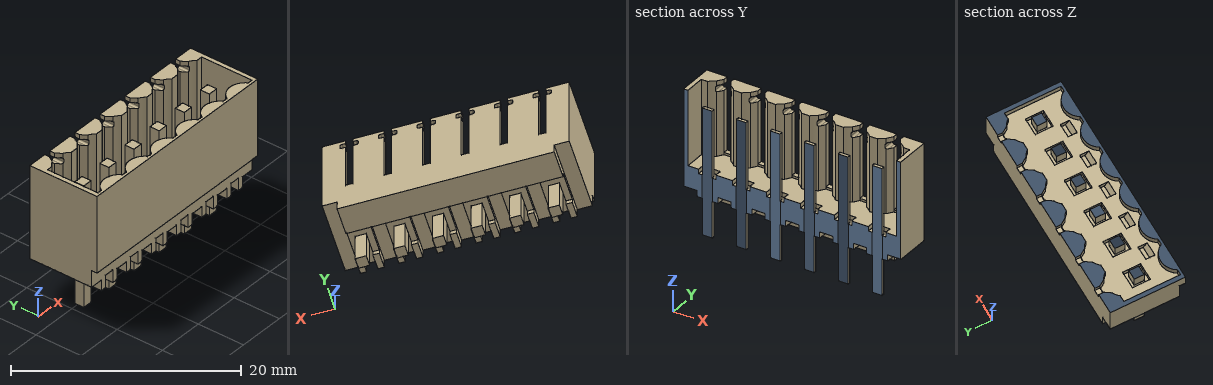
import cadquery as cq
import math


PIN_COUNT = 6
PIN_ROW_LENGTH = 17.5
PITCH = PIN_ROW_LENGTH / (PIN_COUNT - 1)
PIN_SIZE = 1.0
PIN_Y = 3.52
PIN_BELOW_HOUSING = 3.18
PIN_TOP_BELOW_RIM = 1.3

LENGTH = 22.4
DEPTH = 7.45
HEIGHT = 11.07
BASE_HEIGHT = 2.91
BASE_FRONT_Y = 0.6
END_WALL = 0.47
FRONT_WALL = 0.3
BACK_WALL = 1.61
FLOOR_ABOVE_STEP = 0.5
CAVITY_FLOOR_Z = BASE_HEIGHT + FLOOR_ABOVE_STEP

RIB_RADIUS = 1.7
RIB_PROJECTION = 0.85

RECESS_RADIUS = 1.7
RECESS_CENTRE_FROM_BACK = 2.67
THROAT_HALF_WIDTH = 0.75
COLUMN_SLOT_WIDTH = 0.67
COLUMN_SLOT_DEPTH = 0.54
COLUMN_SLOT_SILL = 0.22

GROOVE_WIDTH = 1.65
GROOVE_HEIGHT = 0.63
GROOVE_TOP_BELOW_RIM = 0.5
GROOVE_CORNER_RADIUS = 0.2

PIN_POCKET_SIZE = 1.77
PIN_POCKET_DEPTH = 0.45
WEDGE_WIDTH = 1.4
WEDGE_FRONT_Y = 1.12
WEDGE_SLOPE_LENGTH = 0.4
WEDGE_BACK_Y = 2.02
WEDGE_DEPTH = 0.45

END_STEP_LENGTH = 1.37
END_STEP_HEIGHT = 1.15
CHANNEL_FRONT_Y = 2.1
CHANNEL_BACK_Y = 4.84
CHANNEL_HEIGHT = 0.54
PIN_NOTCH_HEIGHT = 1.35
GAP_NOTCH_WIDTH = 1.3
GAP_NOTCH_HEIGHT = END_STEP_HEIGHT

PIN_XS = [(i - (PIN_COUNT - 1) / 2) * PITCH for i in range(PIN_COUNT)]
GAP_XS = [x + PITCH / 2 for x in PIN_XS[:-1]]
CAVITY_DEPTH = HEIGHT - CAVITY_FLOOR_Z


def block(x_range, y_range, z_range):
    """Box spanning the given (low, high) ranges."""
    (x0, x1), (y0, y1), (z0, z1) = x_range, y_range, z_range
    return cq.Workplane("XY").box(x1 - x0, y1 - y0, z1 - z0, centered=False).translate((x0, y0, z0))


def centred_range(middle, width):
    return (middle - width / 2, middle + width / 2)


def make_shell():
    """Outer block with an undercut base and a shorter bottom at both ends."""
    full_length = centred_range(0, LENGTH)
    shell = block(full_length, (0, DEPTH), (0, HEIGHT))
    shell = shell.cut(block(full_length, (0, BASE_FRONT_Y), (0, BASE_HEIGHT)))
    for side in (-1, 1):
        middle = side * (LENGTH - END_STEP_LENGTH) / 2
        shell = shell.cut(block(centred_range(middle, END_STEP_LENGTH), (0, DEPTH), (0, END_STEP_HEIGHT)))
    return shell


def back_recess(x):
    """Space between two back columns: a slot through the wall, a flared throat and a round mouth."""
    centre_y = DEPTH - RECESS_CENTRE_FROM_BACK
    mouth_y = DEPTH - BACK_WALL
    mouth_half = math.sqrt(RECESS_RADIUS**2 - (mouth_y - centre_y) ** 2)
    throat_y = centre_y + math.sqrt(RECESS_RADIUS**2 - THROAT_HALF_WIDTH**2)
    slot_y = DEPTH - COLUMN_SLOT_DEPTH
    slot_half = COLUMN_SLOT_WIDTH / 2
    mid_angle = (math.atan2(mouth_y - centre_y, mouth_half)
                 + math.atan2(throat_y - centre_y, THROAT_HALF_WIDTH)) / 2
    mid_x = RECESS_RADIUS * math.cos(mid_angle)
    mid_y = centre_y + RECESS_RADIUS * math.sin(mid_angle)
    recess = (
        cq.Workplane("XY")
        .moveTo(mouth_half, mouth_y)
        .threePointArc((mid_x, mid_y), (THROAT_HALF_WIDTH, throat_y))
        .lineTo(slot_half, slot_y)
        .lineTo(-slot_half, slot_y)
        .lineTo(-THROAT_HALF_WIDTH, throat_y)
        .threePointArc((-mid_x, mid_y), (-mouth_half, mouth_y))
        .close()
        .extrude(CAVITY_DEPTH)
        .translate((x, 0, CAVITY_FLOOR_Z))
    )
    slot = block(centred_range(x, COLUMN_SLOT_WIDTH), (slot_y, DEPTH),
                 (CAVITY_FLOOR_Z + COLUMN_SLOT_SILL, HEIGHT))
    return recess.union(slot)


def coding_groove(x):
    """Round-cornered groove running front to back through the columns beside a column slot."""
    top_z = HEIGHT - GROOVE_TOP_BELOW_RIM
    groove = block(centred_range(x, GROOVE_WIDTH), (DEPTH - BACK_WALL, DEPTH),
                   (top_z - GROOVE_HEIGHT, top_z))
    return groove.edges("|Y").fillet(GROOVE_CORNER_RADIUS)


def front_rib(x):
    """Round rib against the inside of the front wall."""
    rib_centre_y = FRONT_WALL + RIB_PROJECTION - RIB_RADIUS
    cylinder = (
        cq.Workplane("XY", origin=(x, rib_centre_y, CAVITY_FLOOR_Z))
        .circle(RIB_RADIUS)
        .extrude(CAVITY_DEPTH)
    )
    return cylinder.intersect(
        block(centred_range(x, PITCH), (FRONT_WALL, DEPTH), (CAVITY_FLOOR_Z, HEIGHT))
    )


def make_cavity():
    """Open space inside the walls, shaped by the front ribs and the back columns."""
    cavity = block(centred_range(0, LENGTH - 2 * END_WALL), (FRONT_WALL, DEPTH - BACK_WALL),
                   (CAVITY_FLOOR_Z, HEIGHT))
    for x in PIN_XS:
        cavity = cavity.cut(front_rib(x))
        cavity = cavity.union(back_recess(x))
    return cavity


def wedge_pocket(x):
    """Floor pocket between two pins, with a sloped front wall."""
    return (
        cq.Workplane("YZ")
        .moveTo(WEDGE_FRONT_Y, CAVITY_FLOOR_Z)
        .lineTo(WEDGE_FRONT_Y + WEDGE_SLOPE_LENGTH, CAVITY_FLOOR_Z - WEDGE_DEPTH)
        .lineTo(WEDGE_BACK_Y, CAVITY_FLOOR_Z - WEDGE_DEPTH)
        .lineTo(WEDGE_BACK_Y, CAVITY_FLOOR_Z)
        .close()
        .extrude(WEDGE_WIDTH / 2, both=True)
        .translate((x, 0, 0))
    )


def pin_pocket(x):
    """Square floor pocket around a pin."""
    return block(centred_range(x, PIN_POCKET_SIZE), centred_range(PIN_Y, PIN_POCKET_SIZE),
                 (CAVITY_FLOOR_Z - PIN_POCKET_DEPTH, CAVITY_FLOOR_Z))


def pin_notch(x):
    """Notch from the front of the base back to the face of a pin."""
    return block(centred_range(x, PIN_SIZE), (BASE_FRONT_Y, PIN_Y), (0, PIN_NOTCH_HEIGHT))


def gap_notch(x):
    """Notch between two pins, through the front foot and back to the rear foot."""
    return block(centred_range(x, GAP_NOTCH_WIDTH), (BASE_FRONT_Y, CHANNEL_BACK_Y), (0, GAP_NOTCH_HEIGHT))


def make_pin(x):
    """Straight square pin standing through the housing floor."""
    return block(centred_range(x, PIN_SIZE), centred_range(PIN_Y, PIN_SIZE),
                 (-PIN_BELOW_HOUSING, HEIGHT - PIN_TOP_BELOW_RIM))


def make_housing(pins):
    housing = make_shell().cut(make_cavity())
    channel = block(centred_range(0, LENGTH), (CHANNEL_FRONT_Y, CHANNEL_BACK_Y), (0, CHANNEL_HEIGHT))
    housing = housing.cut(channel)
    for x in PIN_XS:
        housing = housing.cut(coding_groove(x)).cut(pin_pocket(x)).cut(pin_notch(x))
    for x in GAP_XS:
        housing = housing.cut(wedge_pocket(x)).cut(gap_notch(x))
    for pin in pins:
        housing = housing.cut(pin)
    return housing


pins = [make_pin(x) for x in PIN_XS]
housing = make_housing(pins)

result = cq.Compound.makeCompound([housing.val(), *[pin.val() for pin in pins]])